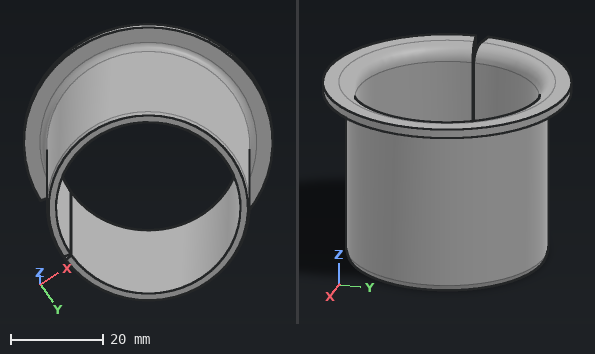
import cadquery as cq

flange_diameter = 54.0
height = 40.0
wall = 2.0
bore_diameter = 40.0
outer_bend_radius = 1.5
chamfer_height = 1.3
chamfer_width = 0.4
bore_gap_width = 0.3
notch_mouth_width = 2.8

flange_radius = flange_diameter / 2
bore_radius = bore_diameter / 2
barrel_radius = bore_radius + wall
inner_bend_radius = outer_bend_radius + wall
bend_center_radius = barrel_radius + outer_bend_radius
bend_center_z = height - inner_bend_radius
split_taper = (notch_mouth_width - bore_gap_width) / (flange_radius - bore_radius)
apex_radius = bore_radius - bore_gap_width / split_taper
diagonal = 0.5 ** 0.5


def bend_middle(radius):
    """Middle point of a quarter-circle bend between barrel and flange."""
    return (bend_center_radius - radius * diagonal, bend_center_z + radius * diagonal)


def make_bushing():
    """Revolve the constant-thickness wall, with its curled flange, about Z."""
    return (
        cq.Workplane("XZ")
        .moveTo(bore_radius, 0)
        .lineTo(barrel_radius - chamfer_width, 0)
        .lineTo(barrel_radius, chamfer_height)
        .lineTo(barrel_radius, bend_center_z)
        .threePointArc(bend_middle(outer_bend_radius), (bend_center_radius, height - wall))
        .lineTo(flange_radius, height - wall)
        .lineTo(flange_radius, height)
        .lineTo(bend_center_radius, height)
        .threePointArc(bend_middle(inner_bend_radius), (bore_radius, bend_center_z))
        .close()
        .revolve(360, (0, 0, 0), (0, 1, 0))
        .rotate((0, 0, 0), (0, 0, 1), 180)
    )


def make_split():
    """Full-height wedge on the -X side, with its apex inside the bore."""
    return (
        cq.Workplane("XY")
        .polyline([
            (-apex_radius, 0),
            (-flange_radius, -notch_mouth_width / 2),
            (-flange_radius, notch_mouth_width / 2),
        ])
        .close()
        .extrude(height)
    )


result = make_bushing().cut(make_split())